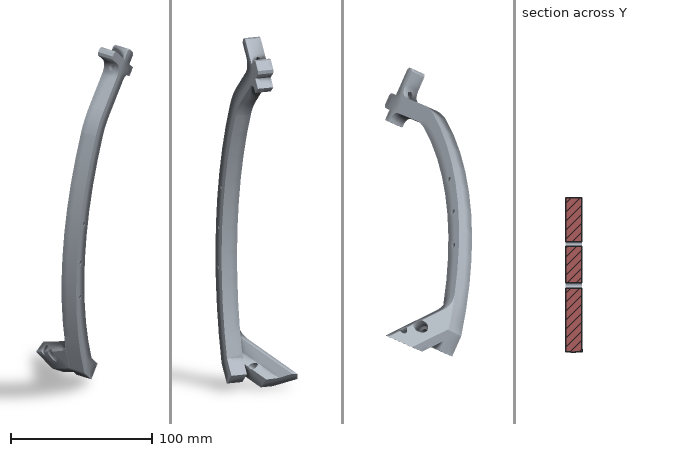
import cadquery as cq
import math

bar_thickness = 11.7
bar_depth = 12.3
bow_radius = 250.7
bow_centre = (bow_radius, 94.0)
bow_low_angle = -18.0
bow_high_angle = 28.0
bend_radius = 50.7
straight_angle = 49.5
straight_length = 40.0

arm_length = 20.8
arm_width = 6.5
arm_chamfer = 2.0
arm_fillet = 8.0
stub_length = 8.5
stub_setback = 0.8
stub_chamfer = 2.0
lip_reach = 8.0
lip_width = 6.7
lip_fillet = 6.0
head_hole = 2.7
head_counterbore = 4.3
head_hole_offset = 3.0
head_counterbore_start = 4.5

heel_angle = 41.0
heel_length = 16.0
foot_end = 21.5
foot_slope = 46.0
blend_reach = 8.5
blend_tilt = 10.0
foot_section = [
    (-21.5, 0), (-38.1, 8.0), (-35.7, 16.5), (-31.5, 17.5),
    (-22.7, 12.8), (-13.3, bar_depth), (-12.5, 0),
]

side_holes = [(11.7, 146.1), (7.0, 115.5), (6.1, 86.1)]
side_hole = 3.5
bolt_hole = 4.0
bolt_tilt = 35.0
bolt_counterbore = 9.0
bolt_counterbore_depth = 7.5
bolt_depth = 21.3
bolt_place = (22.5, 14.0)
pin_hole = 7.0
pin_tilt = 0.0
pin_depth = 3.2
pin_place = (12.3, 2.1)

clearance = 5.3
keep_size = 266.7


def polar(centre, radius, degrees):
    """Point in YZ, with the angle measured from -Y towards +Z."""
    angle = math.radians(degrees)
    return (centre[0] - radius * math.cos(angle), centre[1] + radius * math.sin(angle))


heel_sin = math.sin(math.radians(heel_angle))
heel_cos = math.cos(math.radians(heel_angle))
heel_corner = polar(bow_centre, bow_radius, bow_low_angle)


def heel_point(along, inward):
    """Point in YZ from the outer corner where the bow meets the heel."""
    return (heel_corner[0] + along * heel_sin + inward * heel_cos,
            heel_corner[1] - along * heel_cos + inward * heel_sin)


bend_centre = polar(bow_centre, bow_radius - bend_radius, bow_high_angle)
bend_end = polar(bend_centre, bend_radius, straight_angle)
head_sin = math.sin(math.radians(straight_angle))
head_cos = math.cos(math.radians(straight_angle))
notch = (bend_end[0] + straight_length * head_sin, bend_end[1] + straight_length * head_cos)


def head_point(along, across):
    """Point in YZ from the notch: along the arm, and back along the straight."""
    return (notch[0] - along * head_cos - across * head_sin,
            notch[1] + along * head_sin - across * head_cos)


def make_bar():
    inner_bow = bow_radius - bar_depth
    inner_bend = bend_radius - bar_depth
    centre_y = bow_centre[0] - heel_corner[0]
    centre_z = bow_centre[1] - heel_corner[1]
    centre_along = centre_y * heel_sin - centre_z * heel_cos
    centre_inward = centre_y * heel_cos + centre_z * heel_sin
    half_chord = math.sqrt(inner_bow ** 2 - (centre_inward - bar_depth) ** 2)
    crossings = (centre_along - half_chord, centre_along + half_chord)
    inner_corner = heel_point(min(crossings, key=abs), bar_depth)

    bow_middle = (bow_low_angle + bow_high_angle) / 2
    bend_middle = (bow_high_angle + straight_angle) / 2
    return (
        cq.Workplane("YZ")
        .moveTo(*heel_corner)
        .threePointArc(polar(bow_centre, bow_radius, bow_middle),
                       polar(bow_centre, bow_radius, bow_high_angle))
        .threePointArc(polar(bend_centre, bend_radius, bend_middle), bend_end)
        .lineTo(*head_point(0, 0))
        .lineTo(*head_point(-bar_depth, 0))
        .lineTo(*polar(bend_centre, inner_bend, straight_angle))
        .threePointArc(polar(bend_centre, inner_bend, bend_middle),
                       polar(bow_centre, inner_bow, bow_high_angle))
        .threePointArc(polar(bow_centre, inner_bow, bow_middle), inner_corner)
        .lineTo(*heel_point(heel_length, bar_depth))
        .lineTo(*heel_point(heel_length, 0))
        .close()
        .extrude(bar_thickness)
    )


def make_head():
    arm_root = arm_width + arm_fillet
    lip_root = lip_width + lip_fillet
    corner = 1 - math.sqrt(0.5)
    return (
        cq.Workplane("YZ")
        .moveTo(*head_point(0, 0))
        .lineTo(*head_point(arm_length - arm_chamfer, 0))
        .lineTo(*head_point(arm_length, arm_chamfer))
        .lineTo(*head_point(arm_length, arm_width - arm_chamfer))
        .lineTo(*head_point(arm_length - arm_chamfer, arm_width))
        .lineTo(*head_point(arm_fillet, arm_width))
        .threePointArc(head_point(corner * arm_fillet, arm_width + corner * arm_fillet),
                       head_point(0, arm_root))
        .lineTo(*head_point(-bar_depth, lip_root))
        .threePointArc(head_point(-bar_depth - corner * lip_fillet, lip_width + corner * lip_fillet),
                       head_point(-bar_depth - lip_fillet, lip_width))
        .lineTo(*head_point(-bar_depth - lip_reach, lip_width))
        .lineTo(*head_point(-bar_depth - lip_reach, 0))
        .lineTo(*head_point(-bar_depth, 0))
        .lineTo(*head_point(-bar_depth, stub_chamfer - stub_length))
        .lineTo(*head_point(stub_chamfer - bar_depth, -stub_length))
        .lineTo(*head_point(-stub_setback - stub_chamfer, -stub_length))
        .lineTo(*head_point(-stub_setback, stub_chamfer - stub_length))
        .lineTo(*head_point(-stub_setback, 0))
        .close()
        .extrude(bar_thickness)
    )


heel_direction = cq.Vector(0, heel_sin, -heel_cos)
slope = math.radians(foot_slope)
foot_direction = cq.Vector(-math.cos(slope), 0, 0) + heel_direction * math.sin(slope)


def foot_corner(index):
    """Corner of the foot section on the end face."""
    x, inward = foot_section[index]
    return cq.Vector(x, *heel_point(foot_end, inward))


def foot_root(index):
    """Point where a long edge of the foot meets the side of the bar."""
    corner = foot_corner(index)
    return corner - foot_direction * (corner.x / foot_direction.x)


def make_foot():
    corners = [foot_corner(index) for index in range(len(foot_section))]
    section = cq.Face.makeFromWires(cq.Wire.makePolygon(corners, close=True))
    reach = bar_thickness - min(corner.x for corner in corners)
    foot = cq.Workplane(cq.Solid.extrudeLinear(section, foot_direction * (reach / foot_direction.x)))
    beside_bar = cq.Workplane("YZ").rect(keep_size, keep_size).extrude(-keep_size)
    return foot.intersect(beside_bar)


def make_foot_blend():
    """Concave filler between the upper side of the foot and the side of the bar."""
    root = foot_root(1)
    tilt = math.radians(blend_tilt)
    up_bar = cq.Vector(0, -math.sin(tilt), math.cos(tilt))
    half_angle = up_bar.getAngle(foot_direction) / 2
    bisector = (up_bar + foot_direction).normalized()
    to_arc = blend_reach / math.cos(half_angle) - blend_reach * math.tan(half_angle)
    on_bar = root + up_bar * blend_reach
    on_foot = root + foot_direction * blend_reach
    outline = cq.Wire.assembleEdges([
        cq.Edge.makeLine(root, on_bar),
        cq.Edge.makeThreePointArc(on_bar, root + bisector * to_arc, on_foot),
        cq.Edge.makeLine(on_foot, root),
    ])
    profile = cq.Face.makeFromWires(outline)
    return cq.Workplane(cq.Solid.extrudeLinear(profile, foot_root(2) - root))


def drill(start, direction, diameter, length):
    return cq.Workplane(cq.Solid.makeCylinder(diameter / 2, length, start, direction))


def make_foot_hole(index, back, across, tilt, diameter, depth):
    """Hole in the foot side after the given corner, leaning from square by the tilt."""
    along_side = (foot_corner(index + 1) - foot_corner(index)).normalized()
    into_foot = foot_direction.cross(along_side).normalized()
    lean = math.radians(tilt)
    axis = into_foot * math.cos(lean) - along_side * math.sin(lean)
    centre = foot_corner(index) - foot_direction * back + along_side * across
    return drill(centre - axis * clearance, axis, diameter, depth + clearance)


def make_side_holes():
    cutters = cq.Workplane("YZ").pushPoints(side_holes).circle(side_hole / 2)
    return cutters.extrude(bar_thickness)


def make_head_holes():
    back_along = cq.Vector(0, -head_sin, -head_cos)
    middle = bar_thickness / 2
    start = cq.Vector(middle, *head_point(head_hole_offset, -clearance))
    seat = cq.Vector(middle, *head_point(head_hole_offset, head_counterbore_start))
    through = arm_width + arm_fillet + clearance
    narrow = drill(start, back_along, head_hole, through)
    wide = drill(seat, back_along, head_counterbore, through - head_counterbore_start)
    return narrow.union(wide)


result = make_bar().union(make_head()).union(make_foot()).union(make_foot_blend())
result = result.cut(make_side_holes()).cut(make_head_holes())
result = result.cut(make_foot_hole(0, *bolt_place, bolt_tilt, bolt_hole, bolt_depth))
result = result.cut(make_foot_hole(0, *bolt_place, bolt_tilt, bolt_counterbore, bolt_counterbore_depth))
result = result.cut(make_foot_hole(1, *pin_place, pin_tilt, pin_hole, pin_depth))